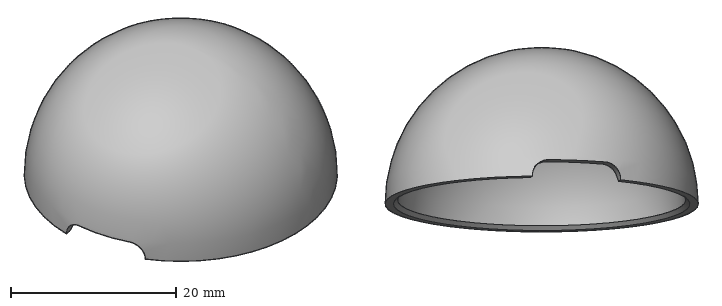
import cadquery as cq

outer_radius = 18.97
wall = 1.5
inner_radius = outer_radius - wall

bevel_height = 0.5
bevel_width = 0.5

notch_width = 11.0
notch_height = 2.05
notch_corner_radius = 2.0


def half_ball(radius):
    return cq.Workplane("XY").sphere(radius, angle1=0, angle2=90)


def rim_bevel_cutter():
    """Cone that opens the cavity out towards the bottom of the rim."""
    top_radius = (inner_radius**2 - bevel_height**2) ** 0.5
    return (
        cq.Workplane("XZ")
        .polyline([(0, 0), (inner_radius + bevel_width, 0), (top_radius, bevel_height), (0, bevel_height)])
        .close()
        .revolve(360, (0, 0, 0), (0, 1, 0))
    )


def notch_cutter():
    """Bar with rounded upper edges, running from the centre out through the front wall."""
    return (
        cq.Workplane("XY")
        .box(notch_width, outer_radius, 2 * notch_height)
        .edges("|Y and >Z")
        .fillet(notch_corner_radius)
        .translate((0, -outer_radius / 2, 0))
    )


dome = half_ball(outer_radius).cut(half_ball(inner_radius))
result = dome.cut(rim_bevel_cutter()).cut(notch_cutter())